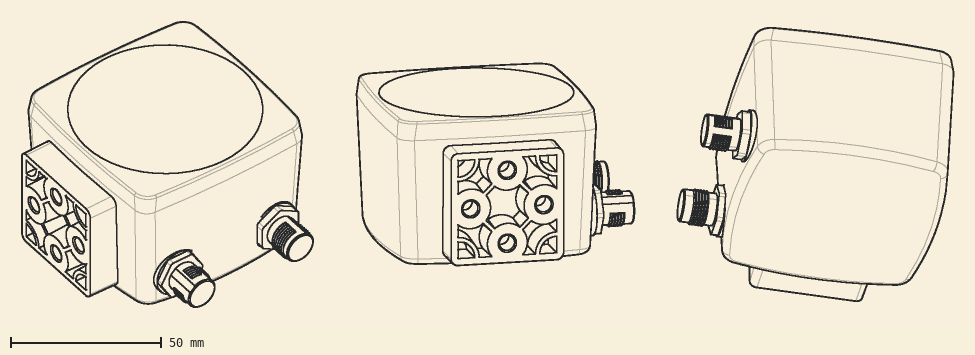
import cadquery as cq
import math

HEIGHT = 49.7
SHOULDER_Z = 43.5
TOP_FILLET = 0.8
BOTTOM_FILLET = 2.5
BOTTOM_SECTION = (35.0, 27.5, 32.3)
SHOULDER_SECTION = (35.0, 29.2, 34.0)
TOP_SECTION = (34.5, 28.1, 33.4)

DISC_RADIUS = 32.4
DISC_THICKNESS = 1.0

BLOCK_FACE_Y = -45.0
BLOCK_ROOT_Y = -30.0
BLOCK_Z = 21.8
BLOCK_SIZE = 38.4
BLOCK_CORNER_RADIUS = 2.4
BLOCK_DRAFT = 1.0
WALL = 2.4
POCKET_DEPTH = 10.0
POCKET_DRAFT = 2.5
POCKET_SIZE = BLOCK_SIZE - 2 * WALL
SCREW_OFFSET = 12.5
SCREW_HOLE_RADIUS = 2.6
SCREW_HOLE_DEPTH = 9.0
SCREW_HOLE_CHAMFER = 0.5
CHAMFER_ANGLE = 45.0
SCREW_BOSS_RADIUS = 6.8
RIB_WIDTH = 1.4
RIB_ANGLE = 45.0
CORNER_RIB_INNER_RADIUS = 5.7
CORNER_RIB_OUTER_RADIUS = 7.2

CONNECTOR_Z = 12.5
CONNECTOR_Y = 20.0
COLLAR_RADIUS = 8.7
COLLAR_ROOT_X = 31.0
COLLAR_END_X = 34.5
NUT_ACROSS_FLATS = 15.0
NUT_CORNER_RADIUS = 1.4
BARREL_RADIUS = 5.45
BARREL_LENGTH = 11.3
BARREL_CHAMFER = 0.4
FLAT_DISTANCE = 5.27
FLAT_ANGLE = 135.0
THREAD_RADIUS = 6.0
THREAD_ROOT_RADIUS = 5.5
THREAD_PITCH = 1.0
THREAD_START = 2.9
THREAD_SECTORS = ((68.0, 40.0), (183.0, 217.0))
CONNECTORS = (
    (-CONNECTOR_Y, 36.8, 0.0, 5),
    (CONNECTOR_Y, 37.5, -90.0, 6),
)


def bulged_square(half_width, corner_along, corner_out, z):
    """A square wire with four bulging arc sides and tangent corner arcs."""
    bulge = half_width - corner_out
    side_radius = (bulge**2 + corner_along**2) / (2 * bulge)
    tilt = math.asin(corner_along / side_radius)
    corner_radius = (corner_out - corner_along) / (math.cos(tilt) - math.sin(tilt))
    corner_centre = corner_along - corner_radius * math.sin(tilt)
    corner_mid = corner_centre + corner_radius * math.sqrt(0.5)

    def turned(x, y, quarter_turns):
        for _ in range(quarter_turns):
            x, y = -y, x
        return cq.Vector(x, y, z)

    edges = []
    for turns in range(4):
        side_start = turned(corner_out, -corner_along, turns)
        side_mid = turned(half_width, 0, turns)
        side_end = turned(corner_out, corner_along, turns)
        corner = turned(corner_mid, corner_mid, turns)
        next_side = turned(corner_along, corner_out, turns)
        edges.append(cq.Edge.makeThreePointArc(side_start, side_mid, side_end))
        edges.append(cq.Edge.makeThreePointArc(side_end, corner, next_side))
    return cq.Wire.assembleEdges(edges)


def housing_block():
    bottom = bulged_square(*BOTTOM_SECTION, 0)
    shoulder = bulged_square(*SHOULDER_SECTION, SHOULDER_Z)
    top = bulged_square(*TOP_SECTION, HEIGHT)
    lower = cq.Workplane(cq.Solid.makeLoft([bottom, shoulder], True))
    lower = lower.faces("<Z").edges().fillet(BOTTOM_FILLET)
    upper = cq.Workplane(cq.Solid.makeLoft([shoulder, top], True))
    upper = upper.faces(">Z").edges().fillet(TOP_FILLET)
    return lower.union(upper)


def block_face():
    """Workplane on the block's outer face, facing into the block: local x is +X, local y is -Z."""
    plane = cq.Plane(origin=(0, BLOCK_FACE_Y, BLOCK_Z), xDir=(1, 0, 0), normal=(0, 1, 0))
    return cq.Workplane(plane)


def widening_post(centre, radius):
    """A round post in the pocket, growing thicker towards the pocket floor."""
    return block_face().center(*centre).circle(radius).extrude(POCKET_DEPTH, taper=-POCKET_DRAFT)


def screw_positions():
    return [(SCREW_OFFSET, 0), (0, SCREW_OFFSET), (-SCREW_OFFSET, 0), (0, -SCREW_OFFSET)]


def pocket():
    """The block's pocket, with its bosses and ribs left standing."""
    void = block_face().rect(POCKET_SIZE, POCKET_SIZE).extrude(POCKET_DEPTH, taper=POCKET_DRAFT)
    half_pocket = POCKET_SIZE / 2
    for x_side in (-1, 1):
        for y_side in (-1, 1):
            corner = (x_side * half_pocket, y_side * half_pocket)
            corner_void = (
                block_face().center(*corner).circle(CORNER_RIB_INNER_RADIUS)
                .extrude(POCKET_DEPTH, taper=POCKET_DRAFT)
            )
            void = void.cut(widening_post(corner, CORNER_RIB_OUTER_RADIUS).cut(corner_void))
            rib = (
                block_face().center(x_side * SCREW_OFFSET / 2, y_side * SCREW_OFFSET / 2)
                .transformed(rotate=(0, 0, -RIB_ANGLE * x_side * y_side))
                .rect(SCREW_OFFSET, RIB_WIDTH)
                .extrude(POCKET_DEPTH, taper=-POCKET_DRAFT)
            )
            void = void.cut(rib)
    for position in screw_positions():
        void = void.cut(widening_post(position, SCREW_BOSS_RADIUS))
    return void


def mounting_block():
    return (
        block_face()
        .sketch()
        .rect(BLOCK_SIZE, BLOCK_SIZE)
        .vertices()
        .fillet(BLOCK_CORNER_RADIUS)
        .finalize()
        .extrude(BLOCK_ROOT_Y - BLOCK_FACE_Y, taper=-BLOCK_DRAFT)
    )


def screw_holes():
    holes = block_face().pushPoints(screw_positions()).circle(SCREW_HOLE_RADIUS).extrude(SCREW_HOLE_DEPTH)
    mouths = (
        block_face().pushPoints(screw_positions())
        .circle(SCREW_HOLE_RADIUS + SCREW_HOLE_CHAMFER)
        .extrude(SCREW_HOLE_CHAMFER, taper=CHAMFER_ANGLE)
    )
    return holes.union(mouths)


def thread_sector(nut_end_x, thread_turns, start_angle, sweep):
    """Saw-tooth thread ridges around part of the barrel, about the X axis."""
    start_x = nut_end_x + THREAD_START
    end_x = start_x + thread_turns * THREAD_PITCH
    inside_radius = BARREL_RADIUS - THREAD_PITCH
    outline = [(start_x, inside_radius), (start_x, THREAD_ROOT_RADIUS)]
    for turn in range(thread_turns):
        ridge_x = start_x + (turn + 0.5) * THREAD_PITCH
        outline.append((ridge_x, THREAD_RADIUS))
        outline.append((ridge_x + THREAD_PITCH / 2, THREAD_ROOT_RADIUS))
    outline.append((end_x, inside_radius))
    sector = cq.Workplane("XY").polyline(outline).close().revolve(sweep, (0, 0, 0), (1, 0, 0))
    return sector.rotate((0, 0, 0), (1, 0, 0), start_angle)


def connector(y, nut_end_x, turn, thread_turns):
    barrel_end_x = nut_end_x + BARREL_LENGTH
    collar = (
        cq.Workplane("YZ", origin=(COLLAR_ROOT_X, 0, 0))
        .circle(COLLAR_RADIUS)
        .extrude(COLLAR_END_X - COLLAR_ROOT_X)
    )
    nut = (
        cq.Workplane("YZ", origin=(COLLAR_END_X, 0, 0))
        .polygon(6, NUT_ACROSS_FLATS / math.cos(math.pi / 6))
        .extrude(nut_end_x - COLLAR_END_X)
        .edges("|X")
        .fillet(NUT_CORNER_RADIUS)
    )
    flat_cutter = (
        cq.Workplane("YZ", origin=(nut_end_x, 0, 0))
        .center(FLAT_DISTANCE + BARREL_RADIUS, 0)
        .rect(2 * BARREL_RADIUS, 2 * BARREL_RADIUS)
        .extrude(BARREL_LENGTH)
        .rotate((0, 0, 0), (1, 0, 0), FLAT_ANGLE)
    )
    barrel = (
        cq.Workplane("YZ", origin=(COLLAR_ROOT_X, 0, 0))
        .circle(BARREL_RADIUS)
        .extrude(barrel_end_x - COLLAR_ROOT_X)
        .faces(">X")
        .edges()
        .chamfer(BARREL_CHAMFER)
        .cut(flat_cutter)
    )
    for start_angle, sweep in THREAD_SECTORS:
        barrel = barrel.union(thread_sector(nut_end_x, thread_turns, start_angle, sweep))
    whole = collar.union(nut).union(barrel)
    return whole.rotate((0, 0, 0), (1, 0, 0), turn).translate((0, y, CONNECTOR_Z))


def cover_disc():
    return (
        cq.Workplane("XY", origin=(0, 0, HEIGHT - DISC_THICKNESS))
        .circle(DISC_RADIUS)
        .extrude(DISC_THICKNESS)
    )


disc = cover_disc()
housing = housing_block().union(mounting_block()).cut(pocket()).cut(screw_holes())
for placing in CONNECTORS:
    housing = housing.union(connector(*placing))
housing = housing.cut(disc)

result = cq.Compound.makeCompound([housing.val(), disc.val()])